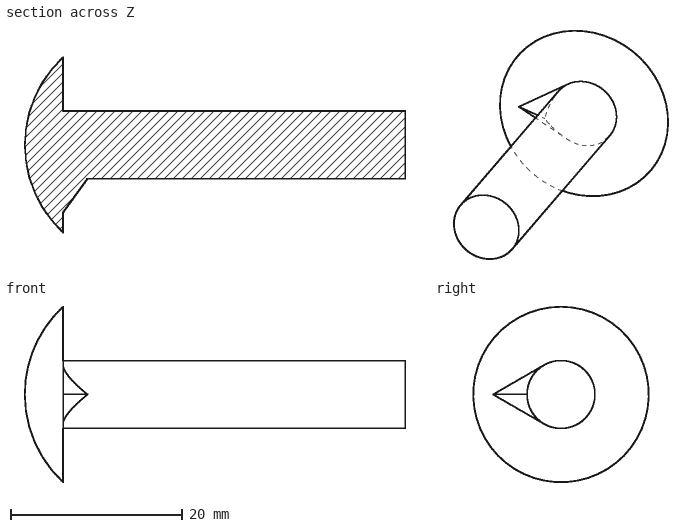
import cadquery as cq
import math

head_diameter = 20.53
head_height = 4.48
shank_diameter = 7.94
shank_length = 40.0
nib_length = 2.87
nib_angle = 60.0

head_radius = head_diameter / 2
shank_radius = shank_diameter / 2
nib_half_angle = math.radians(nib_angle / 2)
nib_reach = shank_radius / math.sin(nib_half_angle)
nib_root = shank_radius * math.sin(nib_half_angle)


def make_body():
    """Domed head and shank, revolved about X."""
    dome_radius = (head_radius**2 + head_height**2) / (2 * head_height)
    half_sweep = math.asin(head_radius / dome_radius) / 2
    dome_mid_x = dome_radius * (1 - math.cos(half_sweep)) - head_height
    dome_mid_z = dome_radius * math.sin(half_sweep)
    return (
        cq.Workplane("XZ")
        .moveTo(-head_height, 0)
        .threePointArc((dome_mid_x, dome_mid_z), (0, head_radius))
        .lineTo(0, shank_radius)
        .lineTo(shank_length, shank_radius)
        .lineTo(shank_length, 0)
        .close()
        .revolve(360, (0, 0, 0), (1, 0, 0))
    )


def make_nib():
    """Anti-rotation nib: a pyramid under the head whose sloping front edge is the ridge."""
    ridge_slope = (nib_reach - shank_radius) / nib_length
    nib_depth = nib_reach - nib_root
    half_width = nib_depth * math.tan(nib_half_angle)
    ridge_top = cq.Vector(0, -nib_reach, 0)
    apex = cq.Vector(nib_depth / ridge_slope, -nib_root, 0)
    upper = cq.Vector(0, -nib_root, half_width)
    lower = cq.Vector(0, -nib_root, -half_width)
    triangles = [
        (ridge_top, upper, lower),
        (ridge_top, upper, apex),
        (ridge_top, lower, apex),
        (upper, lower, apex),
    ]
    faces = [cq.Face.makeFromWires(cq.Wire.makePolygon(list(corners), close=True)) for corners in triangles]
    return cq.Workplane(cq.Solid.makeSolid(cq.Shell.makeShell(faces)))


result = make_body().union(make_nib(), clean=False).solids()